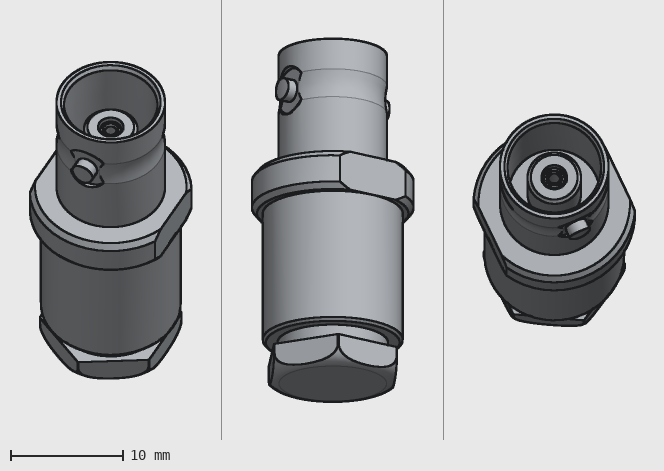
import cadquery as cq
import math

total_height = 30.85
nut_height = 2.5
body_bottom = 3.85
flange_bottom = 16.0
flange_top = 19.6

nut_across_flats = 10.98
nut_corner_diameter = 12.62
nut_edge_radius = 1.5
nut_across_corners = nut_across_flats / math.cos(math.radians(30))

neck_diameter = 9.87
body_diameter = 12.5
body_chamfer = 0.28

flange_diameter = 14.45
flange_width = 12.6
flange_chamfer_height = 0.55
flange_chamfer_width = 0.45

barrel_radius = 4.85
groove_radius = 4.7
groove_width = 2.62
pin_height = 26.7

pin_diameter = 2.0
pin_span = 11.1
pin_flat_distance = 4.55
pin_flat_radius = 2.07
pin_flat_rim_radius = 2.22

bore_floor_radius = 4.07
bore_top_radius = 4.15
bore_mouth_radius = 4.45
bore_mouth_depth = 0.37
bore_depth = 8.33

insulator_diameter = 4.78
insulator_chamfer = 0.3
insulator_top = 27.55
contact_recess_diameter = 2.25
contact_recess_depth = 0.93
contact_diameter = 1.85
contact_hole_diameter = 1.02
contact_chamfer = 0.2
contact_hole_depth = 3.1
contact_inset = 0.3
contact_top = insulator_top - contact_inset


def cylinder(diameter, bottom, top):
    return cq.Workplane("XY").workplane(offset=bottom).circle(diameter / 2).extrude(top - bottom)


def make_nut():
    hexagon = (
        cq.Workplane("XY")
        .polygon(6, nut_across_corners)
        .extrude(nut_height)
        .rotate((0, 0, 0), (0, 0, 1), 30)
    )
    rounding = cylinder(nut_corner_diameter, 0, nut_height).faces("<Z").edges().fillet(nut_edge_radius)
    return hexagon.intersect(rounding)


def make_body():
    neck = cylinder(neck_diameter, nut_height, body_bottom)
    body = cylinder(body_diameter, body_bottom, flange_bottom).faces("<Z").edges().chamfer(body_chamfer)
    return neck.union(body)


def make_flange():
    outer = flange_diameter / 2
    inner = outer - flange_chamfer_width
    disc = (
        cq.Workplane("XZ")
        .moveTo(0, flange_bottom)
        .lineTo(inner, flange_bottom)
        .lineTo(outer, flange_bottom + flange_chamfer_height)
        .lineTo(outer, flange_top - flange_chamfer_height)
        .lineTo(inner, flange_top)
        .lineTo(0, flange_top)
        .close()
        .revolve(360, (0, 0, 0), (0, 1, 0))
    )
    flats = cq.Workplane("XY").box(flange_width, flange_diameter, 2 * total_height)
    return disc.intersect(flats)


def make_barrel():
    return (
        cq.Workplane("XZ")
        .moveTo(0, flange_top)
        .lineTo(barrel_radius, flange_top)
        .lineTo(barrel_radius, pin_height - groove_width / 2)
        .threePointArc((groove_radius, pin_height), (barrel_radius, pin_height + groove_width / 2))
        .lineTo(barrel_radius, total_height)
        .lineTo(0, total_height)
        .close()
        .revolve(360, (0, 0, 0), (0, 1, 0))
    )


def add_pin(barrel, side):
    """Sink the tapered flat and raise the pin on the -Y (side = -1) or +Y (side = 1) wall."""
    outward = cq.Vector(0, side, 0)
    flat_centre = cq.Vector(0, side * pin_flat_distance, pin_height)
    flat = cq.Solid.makeCone(
        pin_flat_radius, pin_flat_rim_radius, barrel_radius - pin_flat_distance, flat_centre, outward
    )
    pin_start = cq.Vector(0, side * bore_mouth_radius, pin_height)
    pin_length = pin_span / 2 - bore_mouth_radius
    pin = cq.Solid.makeCylinder(pin_diameter / 2, pin_length, pin_start, outward)
    rounded_pin = cq.Workplane(pin).intersect(cylinder(pin_span, flange_top, total_height))
    return barrel.cut(cq.Workplane(flat)).union(rounded_pin)


def make_socket():
    return (
        cq.Workplane("XZ")
        .moveTo(0, total_height - bore_depth)
        .lineTo(bore_floor_radius, total_height - bore_depth)
        .lineTo(bore_top_radius, total_height - bore_mouth_depth)
        .lineTo(bore_mouth_radius, total_height)
        .lineTo(0, total_height)
        .close()
        .revolve(360, (0, 0, 0), (0, 1, 0))
    )


def make_insulator():
    insulator = cylinder(insulator_diameter, total_height - bore_depth, insulator_top)
    insulator = insulator.faces(">Z").edges().chamfer(insulator_chamfer)
    recess_floor = insulator_top - contact_recess_depth
    recess = cylinder(contact_recess_diameter, recess_floor, insulator_top)
    contact = cylinder(contact_diameter, recess_floor, contact_top)
    contact_hole = cylinder(contact_hole_diameter, contact_top - contact_hole_depth, contact_top)
    socketed = insulator.cut(recess).union(contact).cut(contact_hole)
    lead_in = cq.Solid.makeCone(
        contact_hole_diameter / 2,
        contact_hole_diameter / 2 + contact_chamfer,
        contact_chamfer,
        cq.Vector(0, 0, contact_top - contact_chamfer),
    )
    return socketed.cut(cq.Workplane(lead_in))


barrel = make_barrel()
for side in (-1, 1):
    barrel = add_pin(barrel, side)
barrel = barrel.cut(make_socket()).union(make_insulator())

result = make_nut().union(make_body()).union(make_flange()).union(barrel)